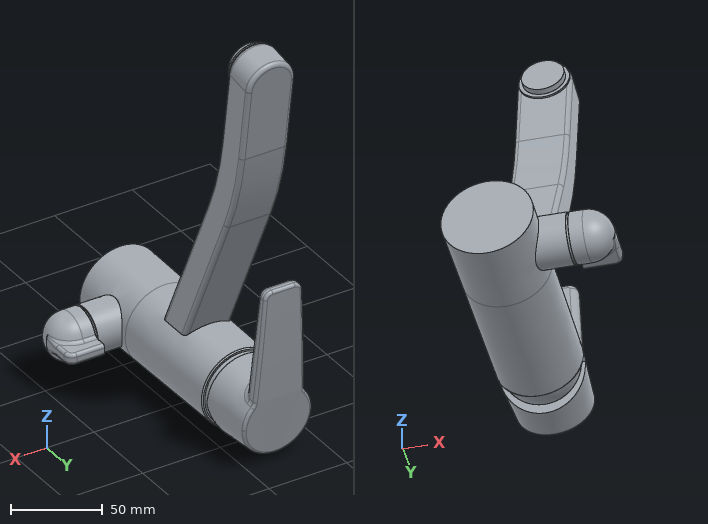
import cadquery as cq
import math

overall_length = 168.5
overall_height = 255.2

pick_margin = 0.3

front_radius = 26.0
joint_radius = 25.5
rear_radius = 24.7
joint_y = 46.0
body_length = 123.7
body_chamfer = 0.8

collar_radius = 23.0
collar_dome = (19.5, 136.3)
collar_end = (14.3, 143.0)

cap_start_y = 128.3
cap_start_radius = 24.5
cap_end_y = 171.0
cap_end_radius = 21.5
cap_cut_y = 138.8
cap_cut_z = -24.2

lever_tip_z = 88.3
back_middle = (165.3, 33.2)
back_bottom = (158.5, -30.5)
lever_front_tip_y = 160.7
lever_front_root_y = 154.0
lever_root_z = 12.8
lever_tip_half_width = 12.0
lever_root_half_width = 16.3
lever_tip_corner = 5.0
lever_front_fillet = 4.0
handle_back_fillet = 1.8
lever_root_fillet = 5.5

spout_width = 30.5
head_radius = spout_width / 2
spout_top_tilt = math.radians(8.5)
spout_root_tilt = math.radians(24.9)
bend_front = (124.3, 141.5)
bend_back = (144.7, 137.8)
bend_front_radius = 178.5
bend_back_radius = 188.8
spout_edge_fillet = 2.5
spout_root_z = 20.7
head_axis_z = 214.3

nozzle_steps = [(14.3, 1.0), (11.2, 3.5), (12.0, 4.5)]

outlet_y = 28.0
outlet_radius = 14.8
groove_start_x = 40.8
groove_depth = 0.8
knob_start_x = 42.0
reach_x = 65.0
dome_center_x = reach_x - outlet_radius
tab_end_y = 51.3
tab_half_thickness = 3.5
tab_corner = 5.0
tab_edge_fillet = 2.0
tab_root_fillet = 2.5


def extrude_across(profile, half_width):
    """Extrude a YZ profile equally to both sides of the plane X = 0."""
    return profile.extrude(half_width, both=True)


def make_body():
    outline = (
        cq.Workplane("XY")
        .lineTo(front_radius, 0)
        .lineTo(joint_radius, joint_y)
        .lineTo(rear_radius, body_length - body_chamfer)
        .lineTo(rear_radius - body_chamfer, body_length)
        .lineTo(collar_radius, body_length)
        .threePointArc(collar_dome, collar_end)
        .lineTo(0, collar_end[1])
        .close()
    )
    return outline.revolve(360, (0, 0), (0, 1))


def make_cap():
    cone = (
        cq.Workplane("XY")
        .moveTo(0, cap_start_y)
        .lineTo(cap_start_radius, cap_start_y)
        .lineTo(cap_end_radius, cap_end_y)
        .lineTo(0, cap_end_y)
        .close()
        .revolve(360, (0, 0), (0, 1))
    )
    below_slant = (
        cq.Workplane("YZ")
        .moveTo(cap_start_y, 0)
        .lineTo(2 * cap_cut_y - cap_start_y, 2 * cap_cut_z)
        .lineTo(cap_start_y, 2 * cap_cut_z)
        .close()
    )
    return cone.cut(extrude_across(below_slant, front_radius))


def make_lever():
    side = (
        cq.Workplane("YZ")
        .moveTo(cap_end_y, 0)
        .lineTo(cap_end_y, lever_tip_z)
        .lineTo(lever_front_tip_y, lever_tip_z)
        .lineTo(lever_front_root_y, lever_root_z)
        .lineTo(lever_front_root_y, 0)
        .close()
    )
    outline = (
        cq.Workplane("XZ")
        .moveTo(-lever_root_half_width, lever_root_z)
        .lineTo(-lever_tip_half_width, lever_tip_z)
        .lineTo(lever_tip_half_width, lever_tip_z)
        .lineTo(lever_root_half_width, lever_root_z)
        .close()
        .extrude(-cap_end_y)
        .edges("|Y and >Z")
        .fillet(lever_tip_corner)
    )
    lever = extrude_across(side, front_radius).intersect(outline)
    return lever.faces("<Y").edges("not <Z").fillet(lever_front_fillet)


def make_handle():
    handle = make_cap().union(make_lever())
    root = cq.selectors.BoxSelector(
        (-front_radius, lever_front_root_y - pick_margin, lever_root_z),
        (front_radius, cap_end_y - pick_margin, cap_start_radius),
    )
    handle = handle.edges(root).fillet(lever_root_fillet)
    trim_side = (
        cq.Workplane("YZ")
        .moveTo(overall_length, lever_tip_z)
        .threePointArc(back_middle, back_bottom)
        .lineTo(0, back_bottom[1])
        .lineTo(0, lever_tip_z)
        .close()
    )
    handle = handle.intersect(extrude_across(trim_side, front_radius))
    back = handle.faces(cq.selectors.NearestToPointSelector((0, *back_middle)))
    return back.edges().fillet(handle_back_fillet)


def make_spout():
    def along(corner, tilt, z):
        """Point at height z on a tilted spout face through its bend corner."""
        return (corner[0] + (z - corner[1]) * math.tan(tilt), z)

    sin_tilt = math.sin(spout_top_tilt)
    cos_tilt = math.cos(spout_top_tilt)
    face_y, face_z = along(bend_front, spout_top_tilt, head_axis_z)
    thickness = (
        (bend_back[0] - bend_front[0]) * cos_tilt - (bend_back[1] - bend_front[1]) * sin_tilt
    )
    tip_front = (face_y + head_radius * sin_tilt, face_z + head_radius * cos_tilt)
    tip_back = (tip_front[0] + thickness * cos_tilt, tip_front[1] - thickness * sin_tilt)
    side = (
        cq.Workplane("YZ")
        .polyline([
            along(bend_front, spout_root_tilt, spout_root_z),
            bend_front,
            tip_front,
            tip_back,
            bend_back,
            along(bend_back, spout_root_tilt, spout_root_z),
        ])
        .close()
    )
    arm = extrude_across(side, spout_width)

    def bend(corner):
        return cq.selectors.NearestToPointSelector((0, *corner))

    arm = arm.edges(bend(bend_front)).fillet(bend_front_radius)
    arm = arm.edges(bend(bend_back)).fillet(bend_back_radius)
    head_plane = cq.Plane(
        origin=(0, face_y, face_z), xDir=(1, 0, 0), normal=(0, -cos_tilt, sin_tilt)
    )
    strip = (
        cq.Workplane(head_plane)
        .moveTo(-head_radius, 0)
        .threePointArc((0, head_radius), (head_radius, 0))
        .lineTo(head_radius, -overall_height)
        .lineTo(-head_radius, -overall_height)
        .close()
        .extrude(overall_height, both=True)
    )
    arm = arm.intersect(strip)
    for corner in (bend_front, bend_back):
        edge = cq.selectors.NearestToPointSelector((head_radius, *corner))
        arm = arm.edges(edge).fillet(spout_edge_fillet)
    for radius, distance in nozzle_steps:
        arm = arm.union(cq.Workplane(head_plane).circle(radius).extrude(distance))
    return arm


def make_outlet():
    axis_plane = cq.Workplane("XY", origin=(0, outlet_y, 0))
    groove_radius = outlet_radius - groove_depth
    stem = (
        axis_plane
        .lineTo(0, outlet_radius)
        .lineTo(groove_start_x, outlet_radius)
        .lineTo(groove_start_x, groove_radius)
        .lineTo(knob_start_x, groove_radius)
        .lineTo(knob_start_x, 0)
        .close()
        .revolve(360, (0, 0), (1, 0))
    )
    knob = (
        axis_plane
        .moveTo(knob_start_x, 0)
        .lineTo(knob_start_x, outlet_radius)
        .lineTo(dome_center_x, outlet_radius)
        .radiusArc((reach_x, 0), outlet_radius)
        .close()
        .revolve(360, (0, 0), (1, 0))
    )
    plate_size = 3 * outlet_radius
    plate = (
        cq.Workplane("XY", origin=(knob_start_x, outlet_y, 0))
        .rect(plate_size, plate_size, centered=False)
        .extrude(tab_half_thickness, both=True)
    )
    outline = (
        cq.Workplane("XY")
        .moveTo(knob_start_x, outlet_y - outlet_radius)
        .lineTo(knob_start_x, tab_end_y)
        .lineTo(reach_x - tab_corner, tab_end_y)
        .radiusArc((reach_x, tab_end_y - tab_corner), tab_corner)
        .lineTo(reach_x, outlet_y)
        .radiusArc((dome_center_x, outlet_y - outlet_radius), outlet_radius)
        .close()
        .extrude(outlet_radius, both=True)
    )
    knob = knob.union(plate)
    root = cq.selectors.BoxSelector(
        (knob_start_x + pick_margin, outlet_y + pick_margin, -2 * tab_half_thickness),
        (reach_x, outlet_y + outlet_radius, 2 * tab_half_thickness),
    )
    knob = knob.edges(root).fillet(tab_root_fillet).intersect(outline)
    knob = knob.edges("|X and >Y").fillet(tab_edge_fillet)
    return stem.union(knob)


result = make_body().union(make_spout()).union(make_outlet()).union(make_handle())